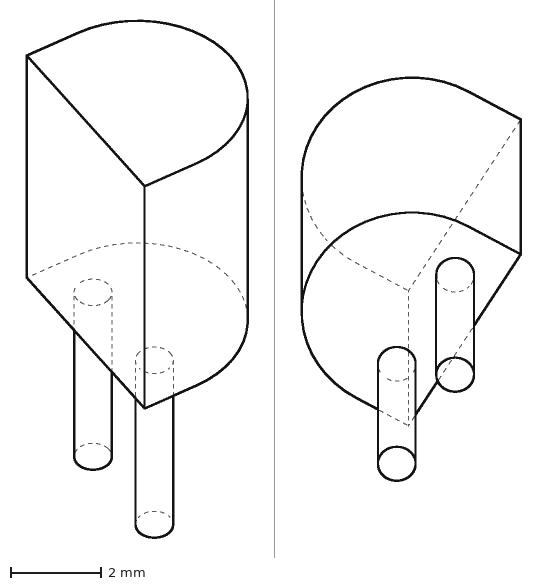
import cadquery as cq

housing_width = 4.9
housing_depth = 3.8
housing_height = 6.9
back_radius = housing_width / 2
side_depth = housing_depth - back_radius

total_height = 12.0
lead_diameter = 0.84
lead_spacing = 2.55
lead_setback = 1.0
lead_length = total_height - housing_height

front_y = -side_depth


def make_housing():
    """D-shaped housing standing on the XY plane."""
    return (
        cq.Workplane("XY")
        .moveTo(-back_radius, front_y)
        .lineTo(back_radius, front_y)
        .lineTo(back_radius, 0)
        .threePointArc((0, back_radius), (-back_radius, 0))
        .close()
        .extrude(housing_height)
    )


def make_lead(x):
    """Round lead hanging from the housing's underside."""
    return (
        cq.Workplane("XY")
        .center(x, front_y + lead_setback)
        .circle(lead_diameter / 2)
        .extrude(-lead_length)
    )


housing = make_housing()
leads = [make_lead(side * lead_spacing / 2) for side in (-1, 1)]

result = cq.Compound.makeCompound([housing.val(), *[lead.val() for lead in leads]])